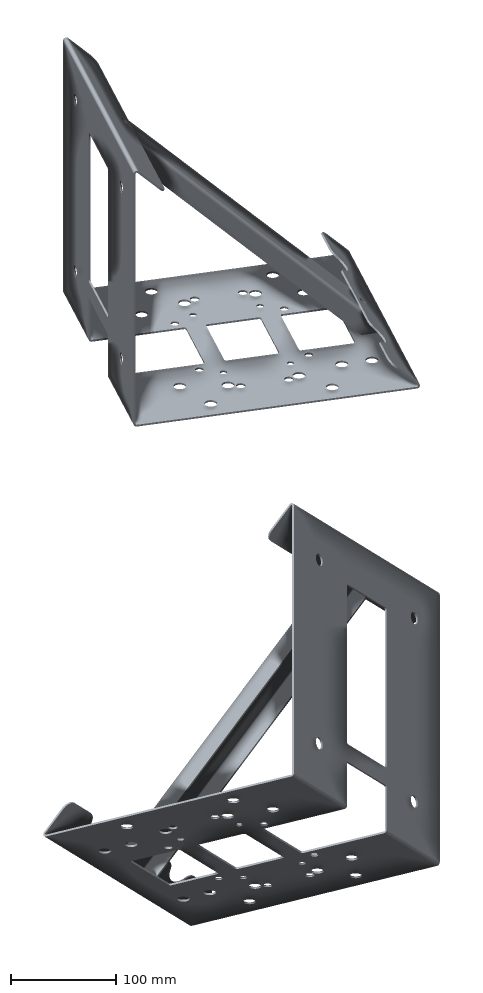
import cadquery as cq
import math

width = 260.0
size = 282.2

sheet = 2.0

inner_bend = 1.0
outer_bend = sheet + inner_bend
root2 = math.sqrt(2)
slope_sum = size + outer_bend * root2

lip_end = 32.7
lip_corner = 10.0
relief_radius = 15.0
screw_hole = 8.0
screw_place = 26.0

window_width = 70.5
window_corner = 2.0
wall_window = (67.0, 231.7)
base_windows = [(115.2, 169.4), (188.8, 244.1)]
corner_window_height = 48.5
corner_window_depth = 95.7

wall_hole = 12.0
wall_hole_x = 84.7
wall_hole_heights = [49.7, 239.0]

pattern_center_y = 141.5
large_hole = 12.0
large_hole_x = 70.0
base_pattern = [
    (large_hole, large_hole_x, 80.0),
    (large_hole, 109.2, 59.8),
    (large_hole, 80.0, 35.0),
    (9.0, 84.5, 23.7),
    (8.0, 45.0, 54.0),
    (7.0, 56.0, 33.0),
]
rear_hole_y = 251.0

brace_width = 45.0
brace_depth = 20.0
brace_inner_bend = 1.5
brace_outer_bend = sheet + brace_inner_bend

slope = cq.Plane(origin=(0, slope_sum / 2, slope_sum / 2), xDir=(1, 0, 0), normal=(0, 1, 1))


def along_slope(y):
    """Distance along the slope from its middle to a point of the outer face at this y."""
    return (y - slope_sum / 2) * root2


def wedge(offset, bend):
    """Triangular prism lying inside the outer faces by the offset, with rounded long edges."""
    far = slope_sum - offset - offset * root2
    return (
        cq.Workplane("YZ")
        .polyline([(offset, offset), (far, offset), (offset, far)])
        .close()
        .extrude(width / 2, both=True)
        .edges("|X")
        .fillet(bend)
    )


def block(x_size, y_range, z_range):
    """Box centred on x = 0 that spans the given y and z ranges."""
    y_size = y_range[1] - y_range[0]
    z_size = z_range[1] - z_range[0]
    return (
        cq.Workplane("XY")
        .box(x_size, y_size, z_size, centered=(True, False, False))
        .translate((0, y_range[0], z_range[0]))
    )


def base_holes(diameter, points):
    return cq.Workplane("XY").pushPoints(points).circle(diameter / 2).extrude(sheet)


def screw_holes(depth):
    """One hole through each lip, going in square to the slope."""
    reach = along_slope(screw_place)
    return (
        cq.Workplane(slope)
        .pushPoints([(0, reach), (0, -reach)])
        .circle(screw_hole / 2)
        .extrude(-depth)
    )


def make_bracket():
    body = wedge(0, outer_bend).cut(wedge(sheet, inner_bend))

    lip_edge = -along_slope(lip_end)
    opening = cq.Workplane(slope).rect(width, 2 * lip_edge).extrude(-sheet)
    reliefs = (
        cq.Workplane(slope)
        .pushPoints([(-large_hole_x, lip_edge), (large_hole_x, lip_edge)])
        .circle(relief_radius)
        .extrude(-sheet)
    )
    body = body.cut(opening).cut(reliefs)
    body = body.edges(cq.selectors.ParallelDirSelector(slope.zDir)).fillet(lip_corner)
    body = body.cut(screw_holes(sheet))

    body = body.cut(block(window_width, (0, sheet), wall_window).edges("|Y").fillet(window_corner))
    for y_range in base_windows:
        body = body.cut(block(window_width, y_range, (0, sheet)).edges("|Z").fillet(window_corner))
    corner_window = (
        block(window_width, (0, outer_bend), (0, corner_window_height))
        .edges("|Y and >Z").fillet(window_corner)
        .union(
            block(window_width, (0, corner_window_depth), (0, outer_bend))
            .edges("|Z and >Y").fillet(window_corner)
        )
    )
    body = body.cut(corner_window)

    wall_points = [(side * wall_hole_x, z) for side in (-1, 1) for z in wall_hole_heights]
    body = body.cut(
        cq.Workplane("XZ").pushPoints(wall_points).circle(wall_hole / 2).extrude(-sheet)
    )

    for diameter, x, y in base_pattern:
        points = [(i * x, pattern_center_y + j * y) for i in (-1, 1) for j in (-1, 1)]
        body = body.cut(base_holes(diameter, points))
    rear_points = [(-large_hole_x, rear_hole_y), (large_hole_x, rear_hole_y)]
    return body.cut(base_holes(large_hole, rear_points))


def rounded_bar(bar_width, top_offset, bend):
    """Bar running along the slope, this far below the lips' outer faces, with rounded top edges."""
    return (
        cq.Workplane(slope)
        .workplane(offset=-top_offset)
        .rect(bar_width, slope_sum * root2)
        .extrude(-brace_depth)
        .edges(cq.selectors.ParallelDirSelector(slope.yDir))
        .edges(cq.selectors.DirectionMinMaxSelector(slope.zDir, True))
        .fillet(bend)
    )


def make_brace():
    """U channel under the lips, its ends shaped to the inside of the bracket."""
    outside = rounded_bar(brace_width, sheet, brace_outer_bend)
    hollow = rounded_bar(brace_width - 2 * sheet, 2 * sheet, brace_inner_bend)
    channel = outside.cut(hollow).intersect(wedge(sheet, inner_bend))
    return channel.cut(screw_holes(2 * sheet))


bracket = make_bracket()
brace = make_brace()
result = cq.Compound.makeCompound([bracket.val(), brace.val()])